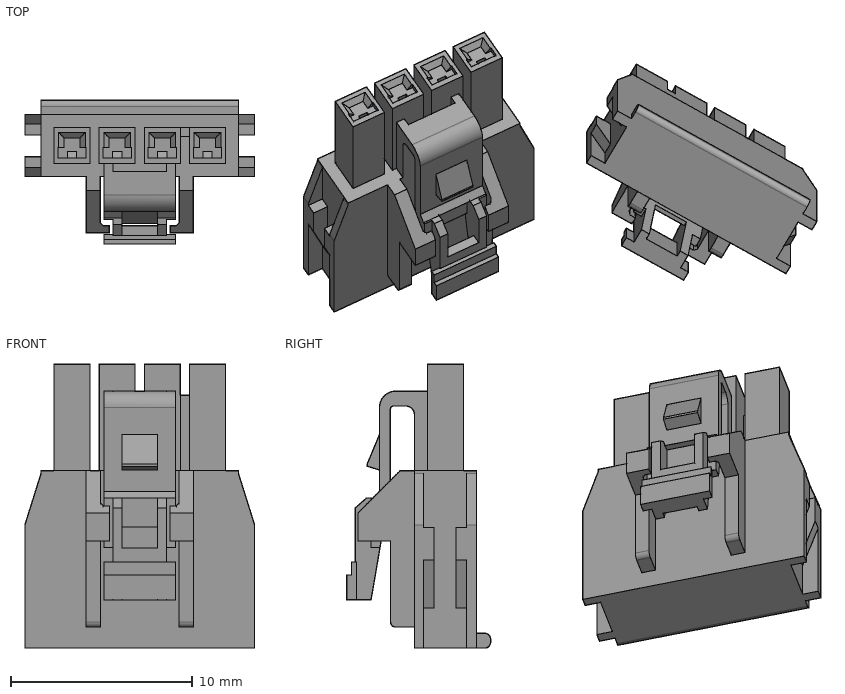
import cadquery as cq


total_height = 15.7
body_width = 12.7
core_width = 10.93
body_depth = 3.44
body_height = 9.81
flange_top = 9.64
flange_taper_start = 6.81
front_flange = 0.5
rear_flange = 0.55

lip_depth = 0.6
lip_top = 6.65
lip_ramp_top = 4.87
lip_ramp_bottom = 2.21

bar_depth = 0.78
bar_height = 0.83
bar_radius = 0.35

post_count = 4
post_pitch = 2.5
post_size = 2.0
post_front = 0.72
web_height = 13.99
web_thickness = 0.5
socket_depth = 0.3
socket_width = 1.57
socket_front = 1.04
socket_step = 1.6
socket_rear = 2.43
funnel_width = 1.48
funnel_inset = 0.3
dent_width = 0.52
dent_length = 0.35

latch_width = 3.95
loop_top = 14.21
loop_underside = 13.38
loop_front = -1.93
loop_inner = -1.32
loop_outer_radius = 0.91
loop_rear_radius = 0.47
loop_front_radius = 0.17
notch_width = 2.97
notch_front = 0.27

bump_width = 1.96
bump_reach = 0.68
bump_top = 11.8
bump_tip_top = 10.19
bump_tip_bottom = 10.05
bump_bottom = 9.85

lever_width = 2.97
lever_front = -3.27
lever_bottom = 2.67
lever_foot_back = -2.39
back_slope_top = 8.9
shoulder_top = 8.67
shoulder_bottom = 8.3
shoulder_front = -2.3
ear_front = -2.39
ear_bottom = 5.57
lever_chamfer_start = -2.64
lever_chamfer_bottom = 7.75
window_width = 1.96
window_bottom = 5.54
lintel_bottom = 6.7
lever_front_wall = 0.55

tab_back = -3.2
tab_step = -3.49
tab_front = -3.74
tab_step_height = 4.05
tab_top = 4.77

guide_gap = 4.35
guide_thickness = 0.78
guide_front = -3.11
guide_foot_front = -1.32
guide_foot_bottom = 1.16
guide_foot_radius = 0.28
guide_head_bottom = 5.92
guide_slope_start = -0.78
guide_slope_end = 7.47
hook_gap = 3.36
hook_thickness = 0.4
hook_chamfer = 0.15


def box(x_range, y_range, z_range):
    """Box spanning the given (low, high) ranges."""
    spans = [high - low for low, high in (x_range, y_range, z_range)]
    corner = (x_range[0], y_range[0], z_range[0])
    return cq.Workplane("XY").box(*spans, centered=False).translate(corner)


def centred(width):
    """X range of the given width about the middle plane."""
    return (-width / 2, width / 2)


def prism(points, x_range):
    """Outline of (Y, Z) points extruded over an X range."""
    profile = cq.Workplane("YZ", origin=(x_range[0], 0, 0)).polyline(points).close()
    return profile.extrude(x_range[1] - x_range[0])


def both_sides(shape):
    return shape.union(shape.mirror("YZ"))


def make_flange(y_range):
    """Plate of full body width with its upper corners cut back to the core."""
    outline = [
        (-body_width / 2, 0),
        (body_width / 2, 0),
        (body_width / 2, flange_taper_start),
        (core_width / 2, flange_top),
        (-core_width / 2, flange_top),
        (-body_width / 2, flange_taper_start),
    ]
    plate = cq.Workplane("XZ", origin=(0, y_range[1], 0)).polyline(outline).close()
    return plate.extrude(y_range[1] - y_range[0])


def make_lips(y_start):
    """Pair of lips in the side channels, each with a ramp underneath."""
    outline = [
        (core_width / 2, lip_ramp_bottom),
        (body_width / 2, lip_ramp_top),
        (body_width / 2, lip_top),
        (core_width / 2, lip_top),
    ]
    profile = cq.Workplane("XZ", origin=(0, y_start + lip_depth, 0)).polyline(outline).close()
    return both_sides(profile.extrude(lip_depth))


def make_body():
    body = box(centred(core_width), (0, body_depth), (0, body_height))
    rear_flange_start = body_depth - rear_flange
    body = body.union(make_flange((0, front_flange)))
    body = body.union(make_flange((rear_flange_start, body_depth)))
    body = body.union(make_lips(front_flange))
    body = body.union(make_lips(rear_flange_start - lip_depth))
    bar = box(centred(core_width), (body_depth, body_depth + bar_depth), (0, bar_height))
    return body.union(bar.edges("|X and >Y").fillet(bar_radius))


def make_socket(x):
    """Shallow opening in a post top: funnel behind, plain recess and sloped dent in front."""
    floor = total_height - socket_depth
    recess = box(
        (x - socket_width / 2, x + socket_width / 2),
        (socket_front, socket_step),
        (floor, total_height),
    )
    funnel_length = 2 * (socket_rear - socket_step)
    funnel = (
        cq.Workplane("XY", origin=(x, socket_step, total_height))
        .rect(funnel_width, funnel_length)
        .workplane(offset=-socket_depth)
        .rect(funnel_width - 2 * funnel_inset, funnel_length - 2 * funnel_inset)
        .loft(ruled=True)
    )
    rear_half = box(
        (x - socket_width / 2, x + socket_width / 2),
        (socket_step, socket_rear),
        (floor, total_height),
    )
    dent_outline = [
        (socket_front, floor),
        (socket_front + dent_length, floor),
        (socket_front + dent_length, floor - dent_length),
    ]
    dent = prism(dent_outline, (x - dent_width / 2, x + dent_width / 2))
    return recess.union(funnel.intersect(rear_half)).union(dent)


def make_posts():
    """Row of posts, with a web joining the last two along the rear."""
    centres = [(i - (post_count - 1) / 2) * post_pitch for i in range(post_count)]
    post_rear = post_front + post_size
    web = box(
        (centres[-2], centres[-1]),
        (post_rear - web_thickness, post_rear),
        (body_height, web_height),
    )
    posts = web
    for x in centres:
        x_range = (x - post_size / 2, x + post_size / 2)
        posts = posts.union(box(x_range, (post_front, post_rear), (body_height, total_height)))
    for x in centres:
        posts = posts.cut(make_socket(x))
    return posts


def make_loop():
    """Arch of the latch: rear column on the body, rounded top, front leg."""
    x_range = centred(latch_width)
    loop = box(x_range, (loop_front, post_front), (back_slope_top, loop_top))
    loop = loop.edges("|X and <Y and >Z").fillet(loop_outer_radius)
    opening = box(x_range, (loop_inner, 0), (back_slope_top, loop_underside))
    opening = opening.edges("|X and >Y and >Z").fillet(loop_rear_radius)
    opening = opening.edges("|X and <Y and >Z").fillet(loop_front_radius)
    notch = box(centred(notch_width), (notch_front, post_front), (body_height, loop_top))
    return loop.cut(opening).cut(notch)


def make_bump():
    tip = loop_front - bump_reach
    outline = [
        (loop_front, bump_top),
        (tip, bump_tip_top),
        (tip, bump_tip_bottom),
        (loop_front, bump_bottom),
    ]
    return prism(outline, centred(bump_width))


def make_lever():
    """Lower end of the latch: wide shoulder, narrow lever with a window, thumb tab."""
    back_slope = (loop_inner - lever_foot_back) / (back_slope_top - lever_bottom)
    ear_back = lever_foot_back + (ear_bottom - lever_bottom) * back_slope
    shoulder_outline = [
        (loop_inner, back_slope_top),
        (loop_front, back_slope_top),
        (loop_front, shoulder_top),
        (shoulder_front, shoulder_bottom),
        (ear_front, shoulder_bottom),
        (ear_front, ear_bottom),
        (ear_back, ear_bottom),
    ]
    lever_outline = [
        (loop_inner, back_slope_top),
        (loop_front, shoulder_top),
        (shoulder_front, shoulder_bottom),
        (lever_chamfer_start, shoulder_bottom),
        (lever_front, lever_chamfer_bottom),
        (lever_front, lever_bottom),
        (lever_foot_back, lever_bottom),
    ]
    front_wall_back = lever_front + lever_front_wall
    passage_outline = [
        (loop_front, shoulder_bottom),
        (lever_front, shoulder_bottom),
        (lever_front, window_bottom),
        (front_wall_back, window_bottom),
        (front_wall_back, lever_bottom),
        (loop_inner, lever_bottom),
        (loop_inner, lintel_bottom),
        (loop_front, lintel_bottom),
    ]
    tab_outline = [
        (tab_back, lever_bottom),
        (tab_front, lever_bottom),
        (tab_front, tab_step_height),
        (tab_step, tab_step_height),
        (tab_step, tab_top),
        (tab_back, tab_top),
    ]
    lever = prism(shoulder_outline, centred(latch_width))
    lever = lever.union(prism(lever_outline, centred(lever_width)))
    lever = lever.cut(prism(passage_outline, centred(window_width)))
    return lever.union(prism(tab_outline, centred(latch_width)))


def make_guides():
    """Pair of side arms whose hooks reach in front of the latch shoulder."""
    inner = guide_gap / 2
    x_range = (inner, inner + guide_thickness)
    foot = box(x_range, (guide_foot_front, 0), (guide_foot_bottom, body_height))
    foot = foot.edges("|X and <Y and <Z").fillet(guide_foot_radius)

    hook_back = guide_front + hook_thickness
    head_outline = [
        (x_range[1], 0),
        (x_range[1], guide_front),
        (hook_gap / 2, guide_front),
        (hook_gap / 2, hook_back),
        (inner - hook_chamfer, hook_back),
        (inner, hook_back + hook_chamfer),
        (inner, 0),
    ]
    head_base = cq.Workplane("XY", origin=(0, 0, guide_head_bottom)).polyline(head_outline).close()
    head = foot.union(head_base.extrude(body_height - guide_head_bottom))

    sloped_corner = [
        (guide_slope_start, body_height),
        (guide_front, body_height),
        (guide_front, guide_slope_end),
    ]
    return both_sides(head.cut(prism(sloped_corner, (0, x_range[1]))))


result = make_body()
for feature in (make_posts(), make_loop(), make_bump(), make_lever(), make_guides()):
    result = result.union(feature)